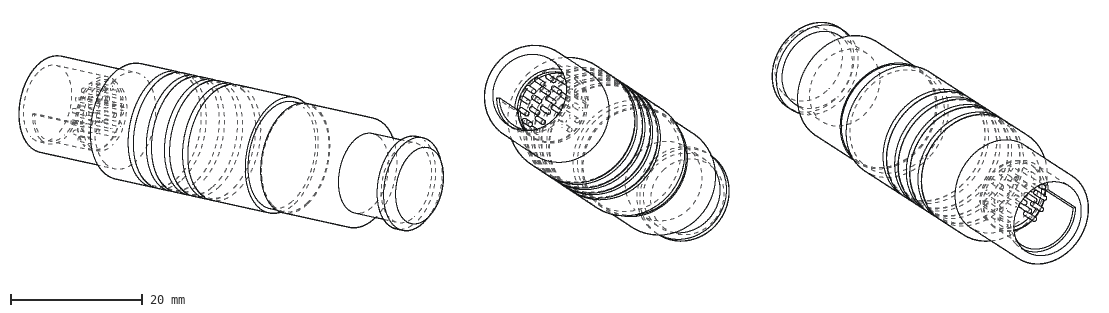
import cadquery as cq
import math

overall_length = 71.8

nose_radius = 7.5
nose_fillet = 0.65

body_start = 15.0
body_end = 45.2
body_radius = 9.0
body_fillet = 0.6

groove_count = 4
groove_pitch = 3.5
first_groove_x = 23.1
groove_width = 1.0
groove_depth = 0.25

collar_radius = 8.32
nut_start = 47.8
nut_end = 61.0
nut_radius = 8.52
nut_fillet = 0.5

sleeve_radius = 6.2
flange_start = 69.25
flange_radius = 7.22
flange_chamfer = 1.3

mouth_radius = 5.95
socket_radius = 5.5
step_radius = 5.4
key_depth = 1.75
mouth_depth = 10.0
pin_face_depth = 11.0

pin_radius = 0.35
pin_length = 3.0
pin_rings = [
    (4.37, 13, 24),
    (2.65, 8, 40),
    (1.0, 3, 120),
]


def cylinder(start, end, radius):
    """Solid cylinder on the X axis from start to end."""
    return cq.Workplane("YZ", origin=(start, 0, 0)).circle(radius).extrude(end - start)


def make_nose():
    return cylinder(0, body_start, nose_radius).faces("<X").edges().fillet(nose_fillet)


def groove_ring(center_x):
    """Ring cut for one finger groove: its inner side is a shallow arc."""
    half_width = groove_width / 2
    section = (
        cq.Workplane("XY", origin=(center_x, 0, 0))
        .moveTo(-half_width, body_radius)
        .threePointArc((0, body_radius - groove_depth), (half_width, body_radius))
        .lineTo(half_width, body_radius + groove_depth)
        .lineTo(-half_width, body_radius + groove_depth)
        .close()
    )
    return section.revolve(360, (0, 0, 0), (1, 0, 0))


def make_body():
    body = cylinder(body_start, body_end, body_radius).faces("<X").edges().fillet(body_fillet)
    for index in range(groove_count):
        body = body.cut(groove_ring(first_groove_x + index * groove_pitch))
    return body


def make_nut():
    return cylinder(nut_start, nut_end, nut_radius).faces(">X").edges().fillet(nut_fillet)


def make_flange():
    flange = cylinder(flange_start, overall_length, flange_radius)
    return flange.faces(">X").edges().chamfer(flange_chamfer)


def lower_half_ring(start, end, outer_radius, inner_radius):
    """Half-moon liner: the part of a tube on the X axis that lies below the axis."""
    tube = cylinder(start, end, outer_radius).cut(cylinder(start, end, inner_radius))
    upper_half = cq.Workplane("XY", origin=(start, 0, 0)).box(
        end - start, 2 * outer_radius, outer_radius, centered=(False, True, False)
    )
    return tube.cut(upper_half)


def make_socket():
    """Material removed from the nose, leaving the key and the step standing below the axis."""
    mouth = cylinder(0, mouth_depth, mouth_radius)
    key = lower_half_ring(key_depth, mouth_depth, mouth_radius, socket_radius)
    bore = cylinder(mouth_depth, pin_face_depth, socket_radius)
    step = lower_half_ring(mouth_depth, pin_face_depth, socket_radius, step_radius)
    return mouth.cut(key).union(bore.cut(step))


def make_pin(y, z):
    """Pin with a hemispherical tip standing on the socket floor."""
    tip_x = pin_face_depth - pin_length + pin_radius
    tip = cq.Workplane("XY", origin=(tip_x, 0, 0)).sphere(pin_radius)
    return cylinder(tip_x, pin_face_depth, pin_radius).union(tip).translate((0, y, z))


def pin_positions():
    """Y and Z of every pin, with ring angles measured from the top."""
    positions = []
    for ring_radius, pin_count, pin_spacing in pin_rings:
        for index in range(pin_count):
            turn = math.radians(pin_spacing * (index - (pin_count - 1) / 2))
            positions.append((ring_radius * math.sin(turn), ring_radius * math.cos(turn)))
    return positions


result = make_nose().union(make_body())
result = result.union(cylinder(body_end, nut_start, collar_radius))
result = result.union(make_nut())
result = result.union(cylinder(nut_end, flange_start, sleeve_radius))
result = result.union(make_flange())
result = result.cut(make_socket())
for pin_y, pin_z in pin_positions():
    result = result.union(make_pin(pin_y, pin_z))